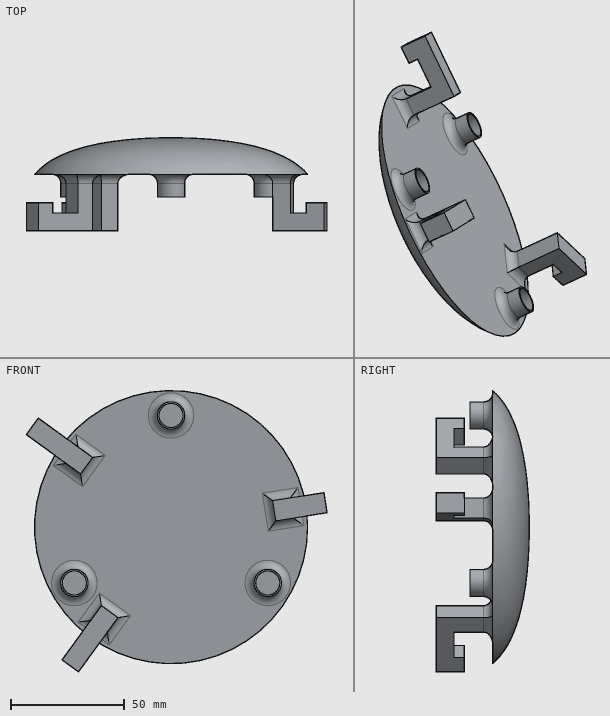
import cadquery as cq
import math

disc_radius = 60.0
dome_rise = 16.1
crown_handle = 20.8
rim_handle = 17.6
rim_slope = 50

peg_outer_diameter = 12.0
peg_bore_diameter = 10.6
peg_length = 10.0
peg_circle_radius = 49.1
peg_count = 3
first_peg_angle = 90

hook_width = 9.0
bar_thickness = 8.0
hook_depth = 24.9
lip_height = 4.5
hook_inner_radius = 45.9
long_hook_reach = 75.4
short_hook_reach = 68.8
hook_reach_by_angle = {9: short_hook_reach, 144: long_hook_reach, 234: long_hook_reach}

root_fillet = 4.0


def make_dome():
    """Revolve half of the dome section about the Y axis."""
    slope = math.radians(rim_slope)
    crown_control = (crown_handle, dome_rise)
    rim_control = (disc_radius - rim_handle * math.cos(slope), rim_handle * math.sin(slope))
    section = (
        cq.Workplane("XY")
        .moveTo(0, dome_rise)
        .bezier([crown_control, rim_control, (disc_radius, 0)], includeCurrent=True)
        .lineTo(0, 0)
        .close()
    )
    return section.revolve(360, (0, 0, 0), (0, 1, 0))


def peg_cylinders(diameter):
    """Cylinders of peg length at every peg position, standing on the flat face toward -Y."""
    return (
        cq.Workplane("XZ")
        .polarArray(peg_circle_radius, first_peg_angle, 360, peg_count)
        .circle(diameter / 2)
        .extrude(peg_length)
    )


def make_hook(angle, reach):
    """Hook pointing outward at the given angle, counted from +X toward +Z."""
    leg_outer_radius = hook_inner_radius + bar_thickness
    lip_inner_radius = reach - bar_thickness
    bar_top = bar_thickness - hook_depth
    outline = [
        (hook_inner_radius, 0),
        (hook_inner_radius, -hook_depth),
        (reach, -hook_depth),
        (reach, bar_top + lip_height),
        (lip_inner_radius, bar_top + lip_height),
        (lip_inner_radius, bar_top),
        (leg_outer_radius, bar_top),
        (leg_outer_radius, 0),
    ]
    hook = cq.Workplane("XY").polyline(outline).close().extrude(hook_width / 2, both=True)
    return hook.rotate((0, 0, 0), (0, 1, 0), -angle)


body = make_dome().union(peg_cylinders(peg_outer_diameter))
for hook_angle, hook_reach in hook_reach_by_angle.items():
    body = body.union(make_hook(hook_angle, hook_reach))

flat_face = body.faces(cq.selectors.NearestToPointSelector((0, 0, 0))).val()
root_edges = [edge for wire in flat_face.innerWires() for edge in wire.Edges()]
body = body.newObject(root_edges).fillet(root_fillet)

result = body.cut(peg_cylinders(peg_bore_diameter))